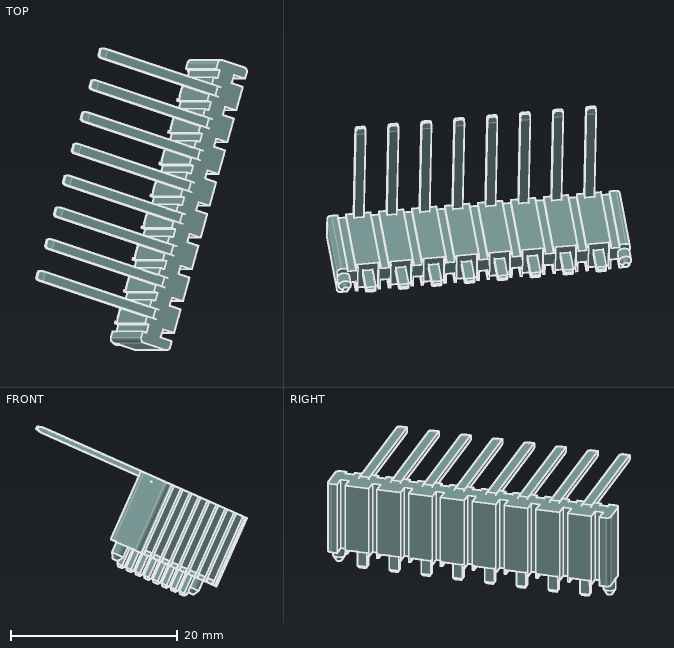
import cadquery as cq
import math

TURN_ABOUT_Z = -17
TILT_ABOUT_Y = 24

PIN_COUNT = 8
PITCH = 4.0

HOUSING_LENGTH = 35.52
HOUSING_DEPTH = 4.0
HOUSING_HEIGHT = 9.0
CORNER_RADIUS = 0.5

GROOVE_WIDTH = 1.0
FRONT_GROOVE_DEPTH = 0.5
REAR_GROOVE_DEPTH = 1.53

CHANNEL_WIDTH = 2.5
CHANNEL_HEIGHT = 0.5

PEG_DIAMETER = 1.5
PEG_SPACING = 34.0
PEG_LENGTH = 2.05
PEG_TIP_LENGTH = 0.7
PEG_TIP_INSET = 0.4

PIN_WIDTH = 1.2
PIN_THICKNESS = 0.7
PIN_REACH = 15.1
PIN_DROP = 2.6
PIN_BEND_RADIUS = 1.0

ARM_FACE_TAPER = 0.75
LEG_FACE_TAPER = 0.3
SIDE_TAPER = 0.3
FACE_INSET = 0.18
SIDE_INSET = 0.18

LEG_X = 1.5

pin_positions = [(i - (PIN_COUNT - 1) / 2) * PITCH for i in range(PIN_COUNT)]
groove_positions = [(i - PIN_COUNT / 2) * PITCH for i in range(PIN_COUNT + 1)]


def block(x_start, x_end, y_centre, width, height):
    """A box standing on Z = 0, centred on y_centre along the row."""
    return (
        cq.Workplane("XY")
        .box(x_end - x_start, width, height, centered=(False, True, False))
        .translate((x_start, y_centre, 0))
    )


def make_peg(y):
    """A round peg below the housing with a conical tip."""
    radius = PEG_DIAMETER / 2
    tip_radius = radius - PEG_TIP_INSET
    half_profile = (
        cq.Workplane("XZ")
        .polyline([
            (0, 0),
            (-radius, 0),
            (-radius, PEG_TIP_LENGTH - PEG_LENGTH),
            (-tip_radius, -PEG_LENGTH),
            (0, -PEG_LENGTH),
        ])
        .close()
    )
    return half_profile.revolve(360, (0, 0, 0), (0, 1, 0)).translate((LEG_X, y, 0))


def pin_strip():
    """The L-shaped pin outline, with its broad faces tapered at both ends, across the full pin width."""
    outer_x = LEG_X + PIN_THICKNESS / 2
    inner_x = LEG_X - PIN_THICKNESS / 2
    top_z = HOUSING_HEIGHT
    under_z = top_z - PIN_THICKNESS
    arm_taper_x = ARM_FACE_TAPER - PIN_REACH
    leg_taper_z = LEG_FACE_TAPER - PIN_DROP
    bend_x = outer_x - PIN_BEND_RADIUS
    bend_z = top_z - PIN_BEND_RADIUS
    inner_radius = PIN_BEND_RADIUS - PIN_THICKNESS
    diagonal = math.sqrt(0.5)
    outer_middle = (bend_x + PIN_BEND_RADIUS * diagonal, bend_z + PIN_BEND_RADIUS * diagonal)
    inner_middle = (bend_x + inner_radius * diagonal, bend_z + inner_radius * diagonal)
    return (
        cq.Workplane("XZ")
        .moveTo(arm_taper_x, top_z)
        .lineTo(bend_x, top_z)
        .threePointArc(outer_middle, (outer_x, bend_z))
        .lineTo(outer_x, leg_taper_z)
        .lineTo(outer_x - FACE_INSET, -PIN_DROP)
        .lineTo(inner_x + FACE_INSET, -PIN_DROP)
        .lineTo(inner_x, leg_taper_z)
        .lineTo(inner_x, bend_z)
        .threePointArc(inner_middle, (bend_x, under_z))
        .lineTo(arm_taper_x, under_z)
        .lineTo(-PIN_REACH, under_z + FACE_INSET)
        .lineTo(-PIN_REACH, top_z - FACE_INSET)
        .close()
        .extrude(PIN_WIDTH / 2, both=True)
    )


def side_tapers(plane, end):
    """Wedges that taper both narrow sides of a pin ending at the given distance along the plane's x axis."""
    half_width = PIN_WIDTH / 2
    wedge = (
        cq.Workplane(plane)
        .polyline([(end - SIDE_TAPER, half_width), (end, half_width - SIDE_INSET), (end, half_width)])
        .close()
        .extrude(HOUSING_HEIGHT, both=True)
    )
    return wedge.union(wedge.mirror("XZ"))


def make_pin(y):
    """A flat L-shaped pin: an arm flush with the housing top, a bend and a leg through the bottom."""
    arm_plane = cq.Plane((0, 0, HOUSING_HEIGHT), xDir=(-1, 0, 0), normal=(0, 0, -1))
    leg_plane = cq.Plane((0, 0, 0), xDir=(0, 0, -1), normal=(1, 0, 0))
    pin = pin_strip().cut(side_tapers(arm_plane, PIN_REACH)).cut(side_tapers(leg_plane, PIN_DROP))
    return pin.translate((0, y, 0))


def make_housing(pins):
    """The grooved block with its two pegs and a matching hole for every pin."""
    housing = block(0, HOUSING_DEPTH, 0, HOUSING_LENGTH, HOUSING_HEIGHT).edges("|Z").fillet(CORNER_RADIUS)
    rear_groove_x = HOUSING_DEPTH - REAR_GROOVE_DEPTH
    for y in groove_positions:
        housing = housing.cut(block(0, FRONT_GROOVE_DEPTH, y, GROOVE_WIDTH, HOUSING_HEIGHT))
        housing = housing.cut(block(rear_groove_x, HOUSING_DEPTH, y, GROOVE_WIDTH, HOUSING_HEIGHT))
    for y in pin_positions:
        housing = housing.cut(block(0, HOUSING_DEPTH, y, CHANNEL_WIDTH, CHANNEL_HEIGHT))
    for y in (-PEG_SPACING / 2, PEG_SPACING / 2):
        housing = housing.union(make_peg(y))
    for pin in pins:
        housing = housing.cut(pin)
    return housing


def tilted(body):
    """The body turned about Z and then tilted about Y into its final attitude."""
    turned = body.rotate((0, 0, 0), (0, 0, 1), TURN_ABOUT_Z)
    return turned.rotate((0, 0, 0), (0, 1, 0), TILT_ABOUT_Y)


pins = [make_pin(y) for y in pin_positions]
housing = make_housing(pins)

result = cq.Compound.makeCompound(
    [tilted(housing).solids().val(), *[tilted(pin).solids().val() for pin in pins]]
)